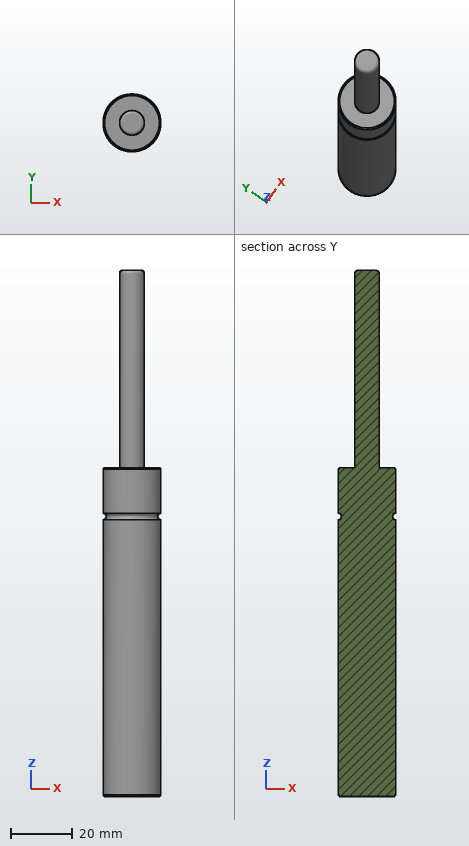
import cadquery as cq

total_height = 172.0
body_diameter = 19.0
body_height = 107.5
body_edge_chamfer = 0.5
rod_diameter = 8.0
rod_tip_fillet = 1.0
groove_radius = 1.0
groove_center_height = 91.5

body_radius = body_diameter / 2


def make_body():
    """Cylinder with a small chamfer on both end edges."""
    cylinder = cq.Workplane("XY").circle(body_radius).extrude(body_height)
    return cylinder.faces("<Z or >Z").edges().chamfer(body_edge_chamfer)


def make_rod():
    """Thin rod rising from the bottom plane to the full height, with a rounded tip edge."""
    rod = cq.Workplane("XY").circle(rod_diameter / 2).extrude(total_height)
    return rod.faces(">Z").edges().fillet(rod_tip_fillet)


def make_groove_cutter():
    """Ring of round section, centred on the body surface, that leaves a half-round groove."""
    section = cq.Workplane("XZ").center(body_radius, groove_center_height).circle(groove_radius)
    return section.revolve(360, (-body_radius, 0), (-body_radius, 1))


result = make_body().cut(make_groove_cutter()).union(make_rod())